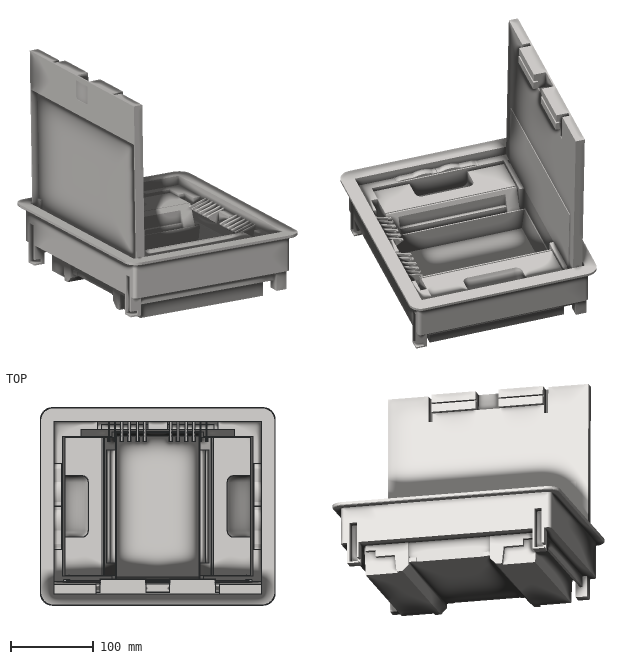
import cadquery as cq
import math


FRAME_X = 285.0
FRAME_Y = 240.0
FRAME_TOP = 84.6
FRAME_THICK = 4.0
FRAME_CORNER_R = 15.0
FRAME_CHAMFER = 0.9
BOX_X = 264.5
BOX_Y = 219.0
BOX_BOTTOM = 35.5
BOX_CORNER_R = 4.5
OPENING_X = 251.5
OPENING_FRONT = -106.3
OPENING_BACK = 103.0
LID_THICK = 11.7
DECK_Z = FRAME_TOP - LID_THICK
BAY_X = 230.8
BAY_Y = 169.3
BAY_LIP = 2.8
BAY_FLOOR = BOX_BOTTOM + BAY_LIP

RIM_Z = 45.0
BACK_POCKET_X = 186.5
BACK_POCKET_Y = 93.2
COMB_INNER_X = 12.0
COMB_OUTER_X = 73.0
COMB_STEP_X = 68.5
COMB_STEP_Y = 99.8
COMB_STEP_Z = 62.7
COMB_FLOOR_Z = 59.8
BLADE_XS = (15.7, 24.5, 34.5, 43.5, 52.0, 59.3)
THIN_BLADE_FROM_X = 51.3
BLADE_THICK = 2.8
THIN_BLADE_THICK = 1.5
BLADE_EMBED = 0.9
BLADE_ROOT_Y = OPENING_BACK + BLADE_EMBED
BLADE_TIP_Y = 79.0
BLADE_FOOT_Y = 83.8
BLADE_FOOT_EXTRA = 1.5
BLADE_ROOT_TOP = 75.5
BLADE_ROOT_BOTTOM = 51.3
BLADE_TIP_TOP = 67.8
BLADE_TIP_BOTTOM = 66.0
BLADE_HEEL_Y = 94.0
BLADE_HEEL_Z = 55.5

CATCH_X = 8.8
CATCH_INNER_Y = 0.3
CATCH_OUTER_Y = 52.5
CATCH_H = 1.7
CATCH_END_H = 0.5
CATCH_RAMP_Y = 46.0
CATCH_END_Y = 50.5
BUMP_Y0 = 4.8
BUMP_Y1 = 29.5
BUMP_RISE = 2.3

LEG_OUTER_X = 123.7
LEG_INNER_X = 109.2
LEG_Y = 14.0
LEG_BOTTOM = 9.7
LEG_SLOT_OUTER_X = 120.5
LEG_SLOT_INNER_X = 111.5
LEG_SLOT_TOP = 60.7
LEG_SLOT_DEPTH = 12.0
FOOT_THICK = 2.0
LEG_WINDOW_H = 5.0
LEG_WINDOW_Y = 10.3
SKIRT_OUTER_X = 118.3
SKIRT_INNER_X = 114.9
SKIRT_BOTTOM = 22.0
DRAIN_X0 = 107.0
DRAIN_X1 = 114.3
DRAIN_FRONT = -91.0
DRAIN_WIDTH = 1.7

TRAY_X = 102.5
TRAY_FLOOR_THICK = 4.8
TRAY_BOTTOM = 12.0
TRAY_TOP_Y = 180.7
TRAY_BOTTOM_Y = 173.8
TRAY_WALL = 1.5
TRAY_TAB_X = 8.8
TRAY_TAB_H = 5.0
TRAY_TAB_Y = 1.7
WELL_X = 111.2
WELL_Y = 181.3

POD_TOP = DECK_Z - 3.0
POD_OUTER_X = 112.5
POD_EDGE_X = 67.5
POD_GROOVE_DEPTH = 2.0
POD_RIDGE_X = 66.0
POD_SLOPE_X = 64.5
POD_KNEE_X = 55.5
POD_KNEE_Z = 48.5
POD_INNER_X = TRAY_X / 2
POD_SLOPE_BOTTOM = 38.8
POD_WAIST_X = 108.0
POD_BASE_X = 106.3
POD_CHAMFER_X = 58.7
POD_CHAMFER_Z = 7.5
POD_Y = 167.5
POD_BODY_Y = 172.0
FIN_Y = 184.0
FIN_OUTER_X = 105.2
FIN_STEP_X = 92.5
FIN_STEP_Z = 29.0
FIN_ROOT_X = 68.5
FIN_BASE_X = 66.0
FIN_ROOT_Z = 21.0
SOCKET_Y = 137.0
SOCKET_OUTER_X = 62.0
SOCKET_MID_X = 57.9
SOCKET_HIGH_Z = 48.5
SOCKET_LOW_Z = 38.5
GRIP_INNER_X = 84.5
GRIP_Y = 74.7
GRIP_R = 30.0
GRIP_AXIS_RISE = 8.5
GRIP_END_R = 7.7

LID_X = OPENING_X
LID_H = 206.3
LID_TILT = 1.0
LID_BASE_Y = OPENING_FRONT + LID_H * math.sin(math.radians(LID_TILT))
LID_RIM = 1.7
LID_RECESS_H = 156.8
LID_RECESS_DEPTH = 9.0
LID_TAB_X = 7.0
LID_TAB_H = 15.7
LID_TAB_DEPTH = 2.8
LID_RIB_X = 221.7
LID_RIB_H = 82.6
LID_RIB_DEPTH = 0.9
LATCH_X = 150.5
LATCH_H = 33.0
LATCH_PLATE = 2.0
LATCH_BLOCK_X = 139.6
LATCH_BLOCK_DEPTH = 17.5
LATCH_BLOCK_H = 10.3
LATCH_HOOK_DEPTH = 18.0
LATCH_HOOK_TOP = 12.3
LATCH_HOOK_H = 10.0
LATCH_NOTCH_X = 29.0
LATCH_NOTCH_H = LATCH_HOOK_TOP + LATCH_HOOK_H
BUTTON_X = 26.2
BUTTON_TOP = 6.3
BUTTON_H = 24.0
BUTTON_DEPTH = 0.5


def block(x0, x1, y0, y1, z0, z1):
    """Box between two opposite corners."""
    return cq.Workplane("XY").box(x1 - x0, y1 - y0, z1 - z0, centered=False).translate((x0, y0, z0))


def centred(x, y, z0, z1):
    """Box centred on the Z axis."""
    return block(-x / 2, x / 2, -y / 2, y / 2, z0, z1)


def both_sides(shape):
    """A shape and its mirror image across the YZ plane."""
    return shape.union(shape.mirror("YZ"))


def prism_y(points, length):
    """XZ outline extruded symmetrically along Y."""
    return cq.Workplane("XZ").polyline(points).close().extrude(length / 2, both=True)


def prism_x(points, x, thick):
    """YZ outline extruded symmetrically about the plane at x."""
    outline = cq.Workplane("YZ", origin=(x, 0, 0)).polyline(points).close()
    return outline.extrude(thick / 2, both=True)


def make_shell():
    frame = centred(FRAME_X, FRAME_Y, FRAME_TOP - FRAME_THICK, FRAME_TOP)
    frame = frame.edges("|Z").fillet(FRAME_CORNER_R).faces("<Z").chamfer(FRAME_CHAMFER)
    box = centred(BOX_X, BOX_Y, BOX_BOTTOM, FRAME_TOP - FRAME_THICK).edges("|Z").fillet(BOX_CORNER_R)
    half = OPENING_X / 2
    opening = block(-half, half, OPENING_FRONT, OPENING_BACK, DECK_Z, FRAME_TOP)
    bay = centred(BAY_X, BAY_Y, BAY_FLOOR, DECK_Z)
    bay = bay.union(centred(2 * POD_WAIST_X, POD_Y, BOX_BOTTOM, BAY_FLOOR))
    well = centred(WELL_X, WELL_Y, BOX_BOTTOM, DECK_Z)
    drain = block(DRAIN_X0, DRAIN_X1, DRAIN_FRONT, DRAIN_FRONT + DRAIN_WIDTH, BOX_BOTTOM, DECK_Z)
    return frame.union(box).cut(opening).cut(bay).cut(well).cut(both_sides(drain))


def make_back_pocket():
    half = BACK_POCKET_X / 2
    pocket = block(-half, half, BAY_Y / 2, BACK_POCKET_Y, RIM_Z, DECK_Z)
    shallow = block(COMB_INNER_X, COMB_OUTER_X, BACK_POCKET_Y, OPENING_BACK, COMB_STEP_Z, DECK_Z)
    deep = block(COMB_INNER_X, COMB_STEP_X, BACK_POCKET_Y, COMB_STEP_Y, COMB_FLOOR_Z, DECK_Z)
    return pocket.union(both_sides(shallow.union(deep)))


def make_blade(x):
    """Pointed comb blade standing out from the back wall, with a thicker tip."""
    thick = THIN_BLADE_THICK if x > THIN_BLADE_FROM_X else BLADE_THICK
    outline = [
        (BLADE_ROOT_Y, BLADE_ROOT_TOP),
        (BLADE_TIP_Y, BLADE_TIP_TOP),
        (BLADE_TIP_Y, BLADE_TIP_BOTTOM),
        (BLADE_HEEL_Y, BLADE_HEEL_Z),
        (BLADE_ROOT_Y, BLADE_ROOT_BOTTOM),
    ]
    blade = prism_x(outline, x, thick)
    foot_half = (thick + BLADE_FOOT_EXTRA) / 2
    foot = block(x - foot_half, x + foot_half, BLADE_TIP_Y, BLADE_FOOT_Y, BLADE_TIP_BOTTOM, BLADE_TIP_TOP)
    return blade.union(foot)


def make_catch():
    """Deck catch on the -X side, +Y half: a low pad with an arched bump."""
    x0 = -OPENING_X / 2
    pad_top = DECK_Z + CATCH_H
    end_z = DECK_Z + CATCH_END_H
    pad_outline = [
        (CATCH_INNER_Y, DECK_Z),
        (CATCH_INNER_Y, pad_top),
        (CATCH_RAMP_Y, pad_top),
        (CATCH_END_Y, end_z),
        (CATCH_OUTER_Y, end_z),
        (CATCH_OUTER_Y, DECK_Z),
    ]
    pad = prism_x(pad_outline, x0 + CATCH_X / 2, CATCH_X)
    crest = ((BUMP_Y0 + BUMP_Y1) / 2, pad_top + BUMP_RISE)
    bump = cq.Workplane("YZ", origin=(x0, 0, 0)).moveTo(BUMP_Y0, pad_top)
    bump = bump.threePointArc(crest, (BUMP_Y1, pad_top)).close().extrude(CATCH_X)
    return pad.union(bump)


def make_leg_and_slot(side):
    """Front (-Y) leg and its slot cutter on one side (-1 or +1); the window opens toward +X."""
    front = -BOX_Y / 2
    leg_xs = sorted((side * LEG_OUTER_X, side * LEG_INNER_X))
    slot_xs = sorted((side * LEG_SLOT_OUTER_X, side * LEG_SLOT_INNER_X))
    foot_top = LEG_BOTTOM + FOOT_THICK
    leg = block(*leg_xs, front, front + LEG_Y, LEG_BOTTOM, BOX_BOTTOM)
    slot = block(*slot_xs, front, front + LEG_SLOT_DEPTH, foot_top, LEG_SLOT_TOP)
    window = block(slot_xs[1], leg_xs[1], front, front + LEG_WINDOW_Y, foot_top, foot_top + LEG_WINDOW_H)
    return leg, slot.union(window)


def add_legs(body):
    for side in (-1, 1):
        leg, slot = make_leg_and_slot(side)
        for turn in (0, 180):
            body = body.union(leg.rotate((0, 0, 0), (0, 0, 1), turn))
            body = body.cut(slot.rotate((0, 0, 0), (0, 0, 1), turn))
    return body


def make_housing():
    body = make_shell().cut(make_back_pocket())
    for x in BLADE_XS:
        body = body.union(both_sides(make_blade(x)))
    catch = make_catch()
    body = body.union(both_sides(catch.union(catch.mirror("XZ"))))
    skirt_half = BOX_Y / 2 - LEG_Y
    skirt = block(SKIRT_INNER_X, SKIRT_OUTER_X, -skirt_half, skirt_half, SKIRT_BOTTOM, BOX_BOTTOM)
    return add_legs(body.union(both_sides(skirt)))


def make_tray():
    """Open tray whose end walls lean outward toward the top."""
    top = TRAY_TOP_Y / 2
    bottom = TRAY_BOTTOM_Y / 2
    outer = [(-bottom, TRAY_BOTTOM), (bottom, TRAY_BOTTOM), (top, RIM_Z), (-top, RIM_Z)]
    floor = TRAY_BOTTOM + TRAY_FLOOR_THICK
    inner = [
        (TRAY_WALL - bottom, floor),
        (bottom - TRAY_WALL, floor),
        (top - TRAY_WALL, RIM_Z),
        (TRAY_WALL - top, RIM_Z),
    ]
    body = prism_x(outer, 0, TRAY_X).cut(prism_x(inner, 0, TRAY_X - 2 * TRAY_WALL))
    edge = TRAY_X / 2
    tab_top = TRAY_BOTTOM + TRAY_TAB_H
    tab = block(edge - TRAY_TAB_X, edge, -bottom - TRAY_TAB_Y, -bottom, TRAY_BOTTOM, tab_top)
    tabs = both_sides(tab)
    return body.union(tabs).union(tabs.mirror("XZ"))


def make_grip():
    """Finger pocket: a cylinder along Y with rounded ends."""
    axis_x = -(GRIP_INNER_X + math.sqrt(GRIP_R**2 - GRIP_AXIS_RISE**2))
    grip = cq.Workplane("XZ").circle(GRIP_R).extrude(GRIP_Y / 2, both=True)
    return grip.edges().fillet(GRIP_END_R).translate((axis_x, 0, POD_TOP + GRIP_AXIS_RISE))


def make_socket():
    """Two-step recess in the sloped inner face."""
    half = SOCKET_Y / 2
    high = block(-SOCKET_OUTER_X, -SOCKET_MID_X, -half, half, SOCKET_HIGH_Z, POD_TOP)
    low = block(-SOCKET_MID_X, -POD_INNER_X, -half, half, SOCKET_LOW_Z, POD_TOP)
    return high.union(low)


def make_pod():
    """Pod on the -X side."""
    upper = [
        (-POD_OUTER_X, POD_TOP),
        (-POD_EDGE_X, POD_TOP),
        (-POD_EDGE_X, POD_TOP - POD_GROOVE_DEPTH),
        (-POD_RIDGE_X, POD_TOP - POD_GROOVE_DEPTH),
        (-POD_RIDGE_X, POD_TOP),
        (-POD_SLOPE_X, POD_TOP),
        (-POD_KNEE_X, POD_KNEE_Z),
        (-POD_INNER_X, POD_SLOPE_BOTTOM),
        (-POD_INNER_X, BOX_BOTTOM),
        (-POD_WAIST_X, BOX_BOTTOM),
        (-POD_WAIST_X, BAY_FLOOR),
        (-POD_OUTER_X, BAY_FLOOR),
    ]
    lower = [
        (-POD_WAIST_X, BOX_BOTTOM),
        (-POD_INNER_X, BOX_BOTTOM),
        (-POD_INNER_X, POD_CHAMFER_Z),
        (-POD_CHAMFER_X, 0),
        (-POD_BASE_X, 0),
    ]
    fin = [
        (-FIN_OUTER_X, BOX_BOTTOM),
        (-POD_INNER_X, BOX_BOTTOM),
        (-POD_INNER_X, POD_CHAMFER_Z),
        (-POD_CHAMFER_X, 0),
        (-FIN_BASE_X, 0),
        (-FIN_ROOT_X, FIN_ROOT_Z),
        (-FIN_STEP_X, FIN_ROOT_Z),
        (-FIN_STEP_X, FIN_STEP_Z),
        (-FIN_OUTER_X, FIN_STEP_Z),
    ]
    body = prism_y(upper, POD_Y).union(prism_y(lower, POD_BODY_Y)).union(prism_y(fin, FIN_Y))
    return body.cut(make_grip()).cut(make_socket())


def tilt(shape):
    """Move an upright lid part to the hinge and lean it outward."""
    return shape.rotate((0, 0, 0), (1, 0, 0), LID_TILT).translate((0, LID_BASE_Y, DECK_Z))


def make_lid():
    half = LID_X / 2
    recess_half = half - LID_RIM
    panel = block(-half, half, 0, LID_THICK, 0, LID_H)
    recess = block(-recess_half, recess_half, 0, LID_RECESS_DEPTH, 0, LID_RECESS_H)
    tab_front = LID_RECESS_DEPTH - LID_TAB_DEPTH
    tab = block(recess_half - LID_TAB_X, recess_half, tab_front, LID_RECESS_DEPTH, 0, LID_TAB_H)
    rib_half = LID_RIB_X / 2
    rib = block(-rib_half, rib_half, LID_THICK, LID_THICK + LID_RIB_DEPTH, 0, LID_RIB_H)
    latch_gap = block(-LATCH_X / 2, LATCH_X / 2, 0, LID_THICK, LID_H - LATCH_H, LID_H)
    return tilt(panel.cut(recess).union(both_sides(tab)).union(rib).cut(latch_gap))


def make_latch():
    plate_half = LATCH_X / 2
    block_half = LATCH_BLOCK_X / 2
    notch_half = LATCH_NOTCH_X / 2
    button_half = BUTTON_X / 2
    bottom = LID_H - LATCH_H
    hook_top = LID_H - LATCH_HOOK_TOP
    button_top = LID_H - BUTTON_TOP
    body = block(-plate_half, plate_half, 0, LATCH_PLATE, bottom, LID_H)
    body = body.union(block(-block_half, block_half, 0, LID_THICK, bottom, LID_H))
    body = body.union(block(-block_half, block_half, 0, LATCH_BLOCK_DEPTH, LID_H - LATCH_BLOCK_H, LID_H))
    body = body.union(block(-block_half, block_half, 0, LATCH_HOOK_DEPTH, hook_top - LATCH_HOOK_H, hook_top))
    notch = block(-notch_half, notch_half, LATCH_PLATE, LATCH_HOOK_DEPTH, LID_H - LATCH_NOTCH_H, LID_H)
    button = block(-button_half, button_half, 0, BUTTON_DEPTH, button_top - BUTTON_H, button_top)
    return tilt(body.cut(notch).cut(button))


housing = make_housing()
tray = make_tray()
left_pod = make_pod()
pods = [left_pod, left_pod.mirror("YZ")]
lid = make_lid()
latch = make_latch()

result = cq.Compound.makeCompound(
    [
        housing.solids().val(),
        tray.solids().val(),
        *[pod.solids().val() for pod in pods],
        lid.solids().val(),
        latch.solids().val(),
    ]
)